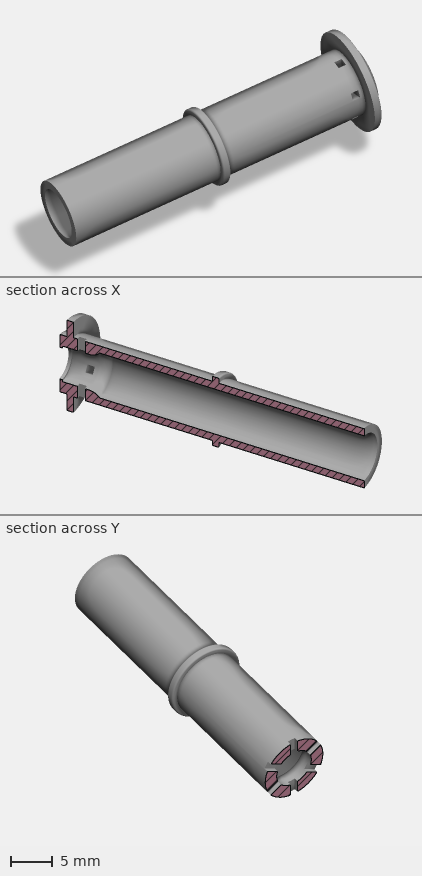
import cadquery as cq
import math

length = 42.0
tube_diameter = 8.55
bore_diameter = 6.4
rear_y = length / 2
front_y = -length / 2

flange_diameter = 13.0
spigot_diameter = 8.3
collar_diameter = 10.0
disc_thickness = 1.0
spigot_length = 0.95
collar_distance = length / 2
rim_radius = 0.2
spigot_edge_radius = 0.2

throat_diameter = 5.05
outlet_diameter = 4.5
outlet_length = 0.4
throat_entry_radius = 2.0
throat_land = 0.5

window_count = 6
window_size = 1.0
window_gap = 0.55
window_y = rear_y - spigot_length - disc_thickness - window_gap - window_size / 2


def cylinder(diameter, start_y, end_y):
    """Solid cylinder on the Y axis between two positions."""
    return (
        cq.Workplane("XZ", origin=(0, end_y, 0))
        .circle(diameter / 2)
        .extrude(end_y - start_y)
    )


def make_body():
    """Tube, spigot, flange and collar, still without the bore."""
    flange_rear = rear_y - spigot_length
    flange_front = flange_rear - disc_thickness
    collar_rear = rear_y - collar_distance
    tube = cylinder(tube_diameter, front_y, flange_front)
    spigot = cylinder(spigot_diameter, flange_front, rear_y).faces(">Y").edges().fillet(spigot_edge_radius)
    flange = cylinder(flange_diameter, flange_front, flange_rear).faces(">Y").edges().fillet(rim_radius)
    collar = cylinder(collar_diameter, collar_rear - disc_thickness, collar_rear).edges().fillet(rim_radius)
    return tube.union(spigot).union(flange).union(collar)


def make_bore():
    """Main bore, throat with a rounded entry, and the narrow outlet."""
    bore_radius = bore_diameter / 2
    throat_radius = throat_diameter / 2
    outlet_radius = outlet_diameter / 2
    outlet_front = rear_y - outlet_length

    arc_end_y = window_y - window_size / 2 - throat_land
    arc_center_x = throat_radius + throat_entry_radius
    arc_angle = math.acos((arc_center_x - bore_radius) / throat_entry_radius)

    def arc_point(angle):
        return (
            arc_center_x - throat_entry_radius * math.cos(angle),
            arc_end_y - throat_entry_radius * math.sin(angle),
        )

    return (
        cq.Workplane("XY")
        .moveTo(0, front_y)
        .lineTo(bore_radius, front_y)
        .lineTo(*arc_point(arc_angle))
        .threePointArc(arc_point(arc_angle / 2), arc_point(0))
        .lineTo(throat_radius, outlet_front)
        .lineTo(outlet_radius, outlet_front)
        .lineTo(outlet_radius, rear_y)
        .lineTo(0, rear_y)
        .close()
        .revolve(360, (0, 0, 0), (0, 1, 0))
    )


def make_windows():
    """Radial square cutters; the first one points along +Z."""
    cutter = (
        cq.Workplane("XY", origin=(0, window_y, 0))
        .rect(window_size, window_size)
        .extrude(tube_diameter)
    )
    windows = cutter
    for index in range(1, window_count):
        angle = index * 360 / window_count
        windows = windows.union(cutter.rotate((0, 0, 0), (0, 1, 0), angle))
    return windows


result = make_body().cut(make_bore()).cut(make_windows())